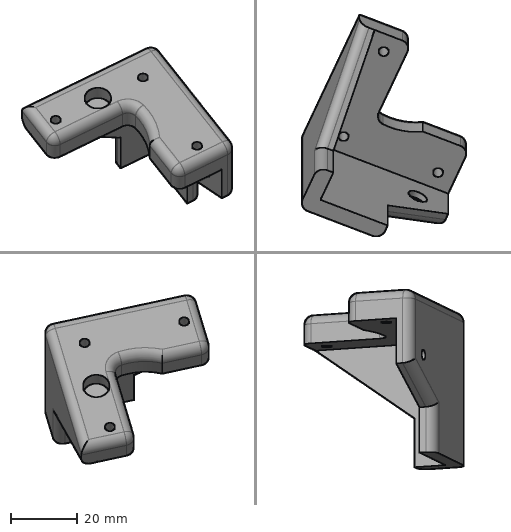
import cadquery as cq
import math

SIZE = 47.0
ROUND = 3.0

PLATE_THICKNESS = 9.1
PLATE_BOTTOM = SIZE - PLATE_THICKNESS
SIDE_ARM_WIDTH = 17.0
BACK_ARM_WIDTH = 21.25
RELIEF_RADIUS = 20.0
RELIEF_X = 22.0
CORNER_DROP = 0.55

WALL_THICKNESS = 5.05
SIDE_FOOT_WIDTH = 15.0
SIDE_FOOT_HEIGHT = 14.95
BACK_FOOT_WIDTH = 27.1
BACK_FOOT_HEIGHT = 13.9
BACK_END_BOTTOM = 23.95

SCREW_DIAMETER = 3.0
SCREW_NEAR = 10.35
SCREW_FAR = 41.35
POCKET_DIAMETER = 8.0
POCKET_X = 9.95
POCKET_Y = -26.15
POCKET_DEPTH = 5.0
WALL_HOLE_X = 37.0
WALL_HOLE_Z = 28.0
COUNTERBORE_DIAMETER = 6.0
COUNTERBORE_DEPTH = 2.0


def top_plate():
    """L plate whose inner corner arc runs tangentially into the relief arc."""
    corner_x = SIDE_ARM_WIDTH + ROUND
    corner_y = -BACK_ARM_WIDTH - CORNER_DROP
    offset_x = RELIEF_X - corner_x
    offset_y = math.sqrt((RELIEF_RADIUS - ROUND) ** 2 - offset_x ** 2)
    relief_y = corner_y - offset_y
    lean = math.atan2(offset_y, -offset_x)

    def on_corner(angle):
        return (corner_x + ROUND * math.cos(angle), corner_y + ROUND * math.sin(angle))

    def on_relief(angle):
        return (RELIEF_X + RELIEF_RADIUS * math.cos(angle), relief_y + RELIEF_RADIUS * math.sin(angle))

    relief_end = math.asin((-BACK_ARM_WIDTH - relief_y) / RELIEF_RADIUS)
    return (
        cq.Workplane("XY", origin=(0, 0, PLATE_BOTTOM))
        .moveTo(0, 0)
        .lineTo(0, -SIZE)
        .lineTo(SIDE_ARM_WIDTH, -SIZE)
        .lineTo(SIDE_ARM_WIDTH, corner_y)
        .threePointArc(on_corner((math.pi + lean) / 2), on_corner(lean))
        .threePointArc(on_relief((lean + relief_end) / 2), on_relief(relief_end))
        .lineTo(SIZE, -BACK_ARM_WIDTH)
        .lineTo(SIZE, 0)
        .close()
        .extrude(PLATE_THICKNESS)
    )


def side_wall():
    """Wall along the Y arm: a narrow foot that slopes out to the end of the plate."""
    profile = [
        (0, 0), (-SIDE_FOOT_WIDTH, 0), (-SIDE_FOOT_WIDTH, SIDE_FOOT_HEIGHT),
        (-SIZE, PLATE_BOTTOM), (0, PLATE_BOTTOM),
    ]
    return cq.Workplane("YZ").polyline(profile).close().extrude(WALL_THICKNESS)


def back_wall():
    """Wall along the X arm: a wide foot that slopes up to the far end."""
    profile = [
        (0, 0), (BACK_FOOT_WIDTH, 0), (BACK_FOOT_WIDTH, BACK_FOOT_HEIGHT),
        (SIZE, BACK_END_BOTTOM), (SIZE, PLATE_BOTTOM), (0, PLATE_BOTTOM),
    ]
    return cq.Workplane("XZ").polyline(profile).close().extrude(WALL_THICKNESS)


def edge_at(x, y, z):
    """Selector for the edge whose centre is nearest to a point."""
    return cq.selectors.NearestToPointSelector((x, y, z))


def round_outside(body):
    """Round the top rim, the outer edges of both walls and the free corners of the plate."""
    side_slope_middle = (0, -(SIDE_FOOT_WIDTH + SIZE) / 2, (SIDE_FOOT_HEIGHT + PLATE_BOTTOM) / 2)
    back_slope_middle = ((BACK_FOOT_WIDTH + SIZE) / 2, 0, (BACK_FOOT_HEIGHT + BACK_END_BOTTOM) / 2)
    plate_middle = (PLATE_BOTTOM + SIZE) / 2
    edge_middles = [
        (0, 0, SIZE / 2),
        (0, -SIDE_FOOT_WIDTH, SIDE_FOOT_HEIGHT / 2),
        side_slope_middle,
        (BACK_FOOT_WIDTH, 0, BACK_FOOT_HEIGHT / 2),
        back_slope_middle,
        (SIZE, 0, (BACK_END_BOTTOM + SIZE) / 2),
        (SIZE, -BACK_ARM_WIDTH, plate_middle),
        (SIDE_ARM_WIDTH, -SIZE, plate_middle),
    ]
    edges = [body.edges(edge_at(*middle)).val() for middle in edge_middles]
    top_edges = body.faces(">Z").edges().vals()
    return body.newObject(edges + top_edges).fillet(ROUND)


def drill(body):
    """Cut the screw holes, the blind round pocket and the counterbored wall hole."""
    screw_points = [(SCREW_NEAR, -SCREW_NEAR), (SCREW_FAR, -SCREW_NEAR), (SCREW_NEAR, -SCREW_FAR)]
    plate_top = cq.Workplane("XY", origin=(0, 0, SIZE))
    screws = plate_top.pushPoints(screw_points).circle(SCREW_DIAMETER / 2).extrude(-PLATE_THICKNESS)
    pocket = plate_top.center(POCKET_X, POCKET_Y).circle(POCKET_DIAMETER / 2).extrude(-POCKET_DEPTH)

    wall_face = cq.Workplane("XZ", origin=(WALL_HOLE_X, -WALL_THICKNESS, WALL_HOLE_Z))
    wall_hole = wall_face.circle(SCREW_DIAMETER / 2).extrude(-WALL_THICKNESS)
    counterbore = wall_face.circle(COUNTERBORE_DIAMETER / 2).extrude(-COUNTERBORE_DEPTH)
    return body.cut(screws).cut(pocket).cut(wall_hole).cut(counterbore)


blank = top_plate().union(side_wall()).union(back_wall()).clean()
result = drill(round_outside(blank))